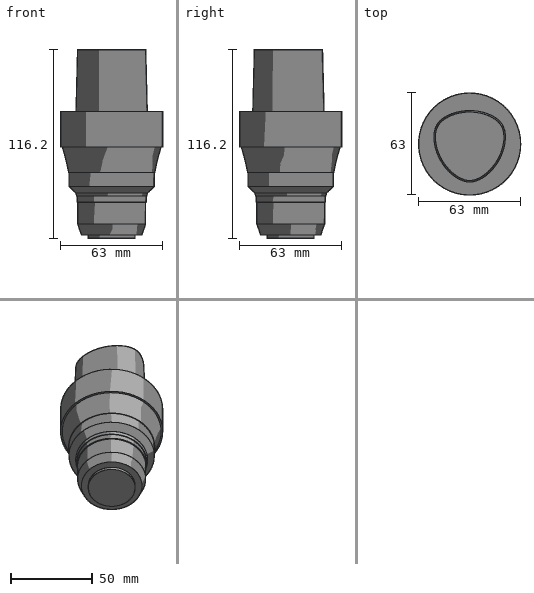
import cadquery as cq
import math

total_height = 116.2
nose_top = 2.1
lead_in_top = 8.8
pilot_top = 22.0
band_bottom = 22.3
band_top = 26.0
neck_top = 28.0
shoulder_bottom = 32.0
shoulder_top = 40.7
flare_middle = 48.3
collar_bottom = 56.1
collar_top = 78.2

nose_diameter = 28.9
lead_in_diameter = 37.3
pilot_diameter = 42.0
band_diameter = 42.6
neck_bottom_diameter = 43.2
neck_top_diameter = 44.4
shoulder_diameter = 52.6
flare_bottom_diameter = 53.2
flare_middle_diameter = 56.5
flare_top_diameter = 60.9
collar_diameter = 63.0

shank_base_width = 44.0
shank_taper = 1 / 20
lobe_offset = 1.4
lobe_count = 3
points_per_lobe = 16


def make_body():
    """Round body, revolved about Z from its half profile."""
    return (
        cq.Workplane("XZ")
        .moveTo(0, 0)
        .lineTo(nose_diameter / 2, 0)
        .lineTo(nose_diameter / 2, nose_top)
        .lineTo(lead_in_diameter / 2, nose_top)
        .lineTo(pilot_diameter / 2, lead_in_top)
        .lineTo(pilot_diameter / 2, pilot_top)
        .lineTo(band_diameter / 2, band_bottom)
        .lineTo(band_diameter / 2, band_top)
        .lineTo(neck_bottom_diameter / 2, band_top)
        .lineTo(neck_top_diameter / 2, neck_top)
        .lineTo(shoulder_diameter / 2, shoulder_bottom)
        .lineTo(shoulder_diameter / 2, shoulder_top)
        .lineTo(flare_bottom_diameter / 2, shoulder_top)
        .threePointArc((flare_middle_diameter / 2, flare_middle), (flare_top_diameter / 2, collar_bottom))
        .lineTo(collar_diameter / 2, collar_bottom)
        .lineTo(collar_diameter / 2, collar_top)
        .lineTo(0, collar_top)
        .close()
        .revolve(360, (0, 0), (0, 1))
    )


def lobed_point(width, angle):
    """Point of the lobed outline whose outward normal lies at the angle from -Y."""
    reach = width / 2 + lobe_offset * math.cos(lobe_count * angle)
    sideways = -lobe_count * lobe_offset * math.sin(lobe_count * angle)
    x = reach * math.sin(angle) + sideways * math.cos(angle)
    y = -reach * math.cos(angle) + sideways * math.sin(angle)
    return (x, y)


def lobed_outline(width, level):
    """Closed, smooth lobed outline at one level."""
    count = lobe_count * points_per_lobe
    points = [lobed_point(width, 2 * math.pi * i / count) for i in range(count)]
    edge = cq.Edge.makeSpline([cq.Vector(x, y, level) for x, y in points], periodic=True)
    return cq.Wire.assembleEdges([edge])


def make_shank():
    """Lobed shank, narrowing from the collar to the top face."""
    top_width = shank_base_width - shank_taper * (total_height - collar_top)
    base = lobed_outline(shank_base_width, collar_top)
    top = lobed_outline(top_width, total_height)
    return cq.Workplane(cq.Solid.makeLoft([base, top], True))


result = make_body().union(make_shank())